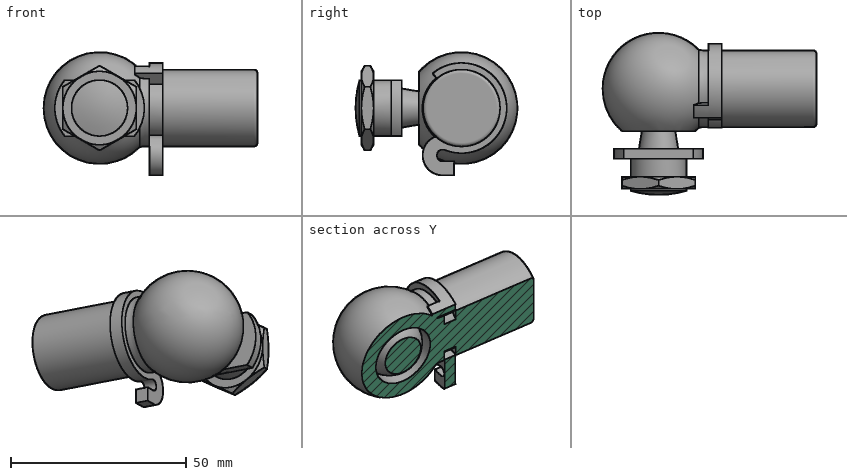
import cadquery as cq
import math


housing_radius = 16.0
overall_length = 61.15
shank_end = overall_length - housing_radius
shank_radius = 11.0
shank_end_fillet = 1.05
neck_fillet_start = 11.45
neck_fillet_end = 12.8
socket_face = 12.15
socket_opening_radius = 9.3

clip_start = 14.25
clip_width = 3.85
clip_outer_radius = 12.9
groove_radius = 8.8
clip_thickness = clip_outer_radius - groove_radius
clip_end_angle = 130.0
tab_start_angle = 111.5
tab_length = 4.2
curl_inner_radius = 1.65
curl_outer_radius = curl_inner_radius + clip_thickness
clip_bottom = -19.25
curl_center_z = clip_bottom + curl_outer_radius
curl_center_distance = clip_outer_radius + curl_inner_radius
curl_center_y = -math.sqrt(curl_center_distance**2 - curl_center_z**2)
lever_tip_y = -2.15

ball_radius = 19.0 / 2
stud_radius = 16.0 / 2
stud_neck_radius = 4.85
stud_neck_base_radius = 5.6
collar_start = 17.05
collar_end = 20.05
collar_radius = 12.8
collar_across_flats = 2 * stud_radius
nut_start = 25.15
nut_end = 28.6
nut_across_flats = 21.0
nut_corner_radius = nut_across_flats / math.sqrt(3)
nut_turn = 30.0
nut_chamfer_angle = 30.0
dome_start = 29.15
stud_end = 30.3


def cylinder_along_stud(radius, start, end):
    """Cylinder on the stud axis between two distances along -Y."""
    return cq.Workplane("XZ", origin=(0, -start, 0)).circle(radius).extrude(end - start)


def polar(radius, angle):
    """Point (y, z) around the shank axis; the angle in degrees runs from +Y to +Z."""
    turn = math.radians(angle)
    return (radius * math.cos(turn), radius * math.sin(turn))


def make_housing():
    """Ball housing blended into the shank, cut flat at the socket face."""
    blend_radius = math.sqrt(housing_radius**2 - neck_fillet_start**2)
    drop = blend_radius - shank_radius
    run = neck_fillet_end - neck_fillet_start
    arc_radius = (run**2 + drop**2) / (2 * drop)
    half_turn = math.asin(run / arc_radius) / 2
    blend_middle = (
        neck_fillet_end - arc_radius * math.sin(half_turn),
        shank_radius + arc_radius * (1 - math.cos(half_turn)),
    )
    body = (
        cq.Workplane("XY")
        .moveTo(-housing_radius, 0)
        .threePointArc((0, housing_radius), (neck_fillet_start, blend_radius))
        .threePointArc(blend_middle, (neck_fillet_end, shank_radius))
        .lineTo(shank_end, shank_radius)
        .lineTo(shank_end, 0)
        .close()
        .revolve(360, (0, 0, 0), (1, 0, 0))
        .faces(">X")
        .fillet(shank_end_fillet)
    )
    beyond_face = cylinder_along_stud(housing_radius, socket_face, housing_radius)
    opening = cylinder_along_stud(socket_opening_radius, 0, housing_radius)
    groove = (
        cq.Workplane("YZ", origin=(clip_start, 0, 0))
        .circle(2 * shank_radius)
        .circle(groove_radius)
        .extrude(clip_width)
    )
    return body.cut(beyond_face).cut(opening).cut(groove)


def ring_sector(start_x, length, from_angle, to_angle):
    """Part of the clip ring between two angles."""
    middle = (from_angle + to_angle) / 2
    return (
        cq.Workplane("YZ", origin=(start_x, 0, 0))
        .moveTo(*polar(groove_radius, from_angle))
        .lineTo(*polar(clip_outer_radius, from_angle))
        .threePointArc(polar(clip_outer_radius, middle), polar(clip_outer_radius, to_angle))
        .lineTo(*polar(groove_radius, to_angle))
        .threePointArc(polar(groove_radius, middle), polar(groove_radius, from_angle))
        .close()
        .extrude(length)
    )


def make_clip():
    """Open ring with a locking tab at its upper end and a curled lever at its lower end."""
    curl_angle = math.degrees(math.atan2(curl_center_z, curl_center_y))
    ring = ring_sector(clip_start, clip_width, curl_angle, clip_end_angle)
    tab = ring_sector(clip_start - tab_length, tab_length, tab_start_angle, clip_end_angle)

    middle_angle = (curl_angle + 180 + 270) / 2

    def curl_point(radius, angle):
        y, z = polar(radius, angle)
        return (curl_center_y + y, curl_center_z + z)

    lever = (
        cq.Workplane("YZ", origin=(clip_start, 0, 0))
        .moveTo(*polar(clip_outer_radius, curl_angle))
        .threePointArc(curl_point(curl_inner_radius, middle_angle), curl_point(curl_inner_radius, 270))
        .lineTo(lever_tip_y, clip_bottom + clip_thickness)
        .lineTo(lever_tip_y, clip_bottom)
        .lineTo(curl_center_y, clip_bottom)
        .threePointArc(curl_point(curl_outer_radius, middle_angle), polar(groove_radius, curl_angle))
        .close()
        .extrude(clip_width)
    )
    return ring.union(tab).union(lever)


def make_nut():
    """Hexagon nut with corners along Z and both ends chamfered."""
    thickness = nut_end - nut_start
    hexagon = (
        cq.Workplane("XZ", origin=(0, -nut_start, 0))
        .polygon(6, 2 * nut_corner_radius)
        .extrude(thickness)
        .rotate((0, 0, 0), (0, 1, 0), nut_turn)
    )
    flat_radius = nut_across_flats / 2
    chamfer_run = nut_corner_radius - flat_radius
    chamfer_depth = chamfer_run * math.tan(math.radians(nut_chamfer_angle))
    envelope = (
        cq.Workplane("XY")
        .polyline([
            (0, -nut_start),
            (flat_radius, -nut_start),
            (nut_corner_radius, -nut_start - chamfer_depth),
            (nut_corner_radius, -nut_end + chamfer_depth),
            (flat_radius, -nut_end),
            (0, -nut_end),
        ])
        .close()
        .revolve(360, (0, 0, 0), (0, 1, 0))
    )
    return hexagon.intersect(envelope)


def make_stud():
    """Ball, tapered neck, flatted collar, domed threaded end and nut."""
    ball = cq.Workplane("XY").sphere(ball_radius)
    taper = (stud_neck_base_radius - stud_neck_radius) / (collar_start - socket_face)
    dome_height = stud_end - dome_start
    dome_radius = (stud_radius**2 + dome_height**2) / (2 * dome_height)
    dome_mid_radius = stud_radius / 2
    dome_mid = stud_end - dome_radius + math.sqrt(dome_radius**2 - dome_mid_radius**2)
    shaft = (
        cq.Workplane("XY")
        .lineTo(stud_neck_base_radius - taper * collar_start, 0)
        .lineTo(stud_neck_base_radius, -collar_start)
        .lineTo(stud_radius, -collar_start)
        .lineTo(stud_radius, -dome_start)
        .threePointArc((dome_mid_radius, -dome_mid), (0, -stud_end))
        .close()
        .revolve(360, (0, 0, 0), (0, 1, 0))
    )
    flats = cq.Workplane("XY").box(2 * collar_radius, 2 * stud_end, collar_across_flats)
    collar = cylinder_along_stud(collar_radius, collar_start, collar_end).intersect(flats)
    return ball.union(shaft).union(collar).union(make_nut())


result = make_housing().union(make_clip()).union(make_stud())